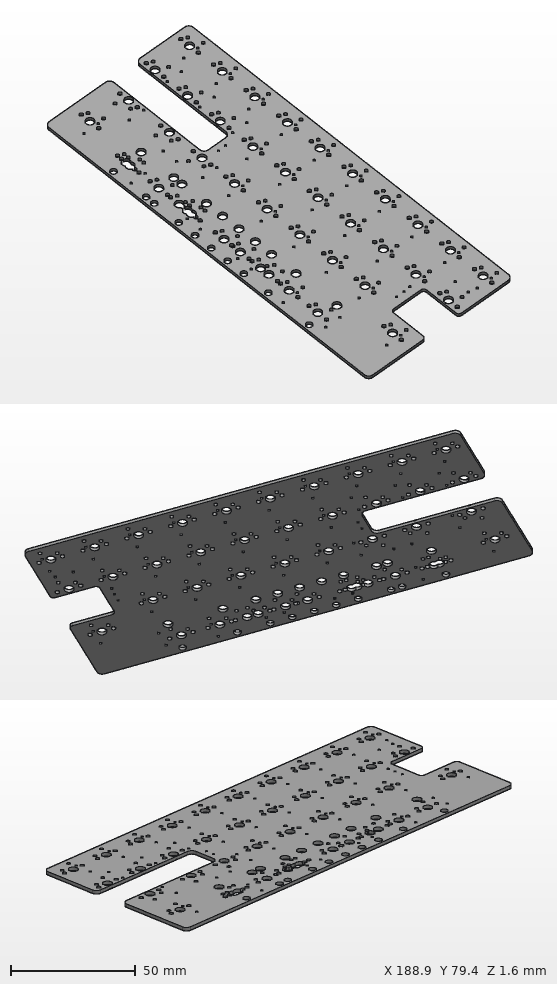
import cadquery as cq

KEY_UNIT = 19.05
GRID_COLUMNS = 10
GRID_ROWS = 4.25
EDGE_TRIM = KEY_UNIT / 24
TOP_TRIM = 2 * EDGE_TRIM

BOARD_LENGTH = GRID_COLUMNS * KEY_UNIT - 2 * EDGE_TRIM
BOARD_WIDTH = GRID_ROWS * KEY_UNIT - TOP_TRIM
BOARD_THICKNESS = 1.6
CORNER_RADIUS = KEY_UNIT / 8
RIGHT_NOTCH_RADIUS = KEY_UNIT / 12
LEFT = -BOARD_LENGTH / 2
BOTTOM = -BOARD_WIDTH / 2

LEFT_NOTCH_DEPTH = 54.9
LEFT_NOTCH_BOTTOM = 35.72
LEFT_NOTCH_TOP = 50.05
RIGHT_NOTCH_DEPTH = 20.3
RIGHT_NOTCH_BOTTOM = 31.6
RIGHT_NOTCH_TOP = 49.7

POST_DIAMETER = 3.99
PEG_DIAMETER = 1.75
PIN_DIAMETER = 1.52
STABILIZER_SMALL_DIAMETER = 3.05
DIODE_DIAMETER = 1.0
LEAD_DIAMETER = 0.8

PIN_GRID = 1.27
PEG_OFFSET = 4 * PIN_GRID
PIN_OFFSETS = [(-3 * PIN_GRID, 2 * PIN_GRID), (2 * PIN_GRID, 4 * PIN_GRID)]

STABILIZER_LARGE_RISE = 8.255
STABILIZER_SMALL_DROP = 6.985

DIODE_SPAN = 7.8
DIODE_SHIFT_X = KEY_UNIT / 6
DIODE_SHIFT_Y = -KEY_UNIT / 8
FAR_DIODE_SHIFT_X = 5 * KEY_UNIT / 12
FAR_DIODE_SHIFT_Y = KEY_UNIT / 6
LEAD_SPAN = 4.0

ROW_1 = 3.75
ROW_2 = 2.75
ROW_3 = 1.75
ROW_4 = 0.5
FULL_ROW = [column + 0.5 for column in range(GRID_COLUMNS)]
ROW_3_TURNED = [0.75, 2, 3]
ROW_3_UPRIGHT = [4, 5, 6, 7, 8]
ROW_4_COLUMNS = [2, 2.125, 3, 3.625, 3.875, 4, 5, 5.5, 6.125, 6.375, 7, 7.875]
LEFT_KEY = (0.625, 0.75)
RIGHT_KEY = (9.375, 1.25)

STABILIZERS = [(5, 3), (4, 1), (5, 1), (3.875, 0.625), (6.125, 0.625)]

UPRIGHT_KEYS = (
    [(x, ROW_1) for x in FULL_ROW]
    + [(x, ROW_2) for x in FULL_ROW]
    + [(x, ROW_3) for x in ROW_3_UPRIGHT]
    + [(x, ROW_4) for x in ROW_4_COLUMNS]
    + [LEFT_KEY, RIGHT_KEY]
)
TURNED_KEYS = [(x, ROW_3) for x in ROW_3_TURNED]

USUAL_DIODE_KEYS = (
    [(x, ROW_1) for x in FULL_ROW]
    + [(x, ROW_2) for x in FULL_ROW[3:-1]]
    + [(x, ROW_3) for x in ROW_3_UPRIGHT]
    + [(7, ROW_4), LEFT_KEY, RIGHT_KEY]
)

RAISED_DIODE_KEYS = [(x, ROW_2) for x in FULL_ROW[:3]]
LOWERED_DIODE_KEYS = [(0.75, ROW_3), (3, ROW_3)]

UPRIGHT_DIODES = [(46.83, 7.14), (157.16, 10.32)]
FLAT_DIODES = [(178.6, 61.12), (46.83, 24.6), (80.17, 6.35), (109.8, 6.3)]

LEAD_PAIRS = [(57.95, 42.8), (164.6, 40.5)]


def key_point(key):
    """Board position of a point given in key units."""
    return (LEFT - EDGE_TRIM + key[0] * KEY_UNIT, BOTTOM + key[1] * KEY_UNIT)


def board_point(point):
    """Board position of a point measured from the lower left board corner."""
    return (LEFT + point[0], BOTTOM + point[1])


def hole(x, y, diameter):
    """Cylinder that cuts a hole through the board."""
    return cq.Solid.makeCylinder(diameter / 2, BOARD_THICKNESS, cq.Vector(x, y, 0))


def switch_holes(key, turn):
    """Post, two pegs and two pins; turn is 1 for upright and -1 for half a turn."""
    x, y = key_point(key)
    holes = [hole(x, y, POST_DIAMETER)]
    for side in (-1, 1):
        holes.append(hole(x + side * PEG_OFFSET, y, PEG_DIAMETER))
    for dx, dy in PIN_OFFSETS:
        holes.append(hole(x + turn * dx, y + turn * dy, PIN_DIAMETER))
    return holes


def stabilizer_holes(centre, half_spacing):
    """A large and a small hole on either side of a long key in row 4."""
    holes = []
    for side in (-1, 1):
        x, y = key_point((centre + side * half_spacing, ROW_4))
        holes.append(hole(x, y + STABILIZER_LARGE_RISE, POST_DIAMETER))
        holes.append(hole(x, y - STABILIZER_SMALL_DROP, STABILIZER_SMALL_DIAMETER))
    return holes


def upright_pair(x, y, span, diameter):
    """Two holes one above the other, centred on a point."""
    return [hole(x, y + side * span / 2, diameter) for side in (-1, 1)]


def flat_pair(x, y, span, diameter):
    """Two holes side by side, centred on a point."""
    return [hole(x + side * span / 2, y, diameter) for side in (-1, 1)]


def key_diode(key, shift_x, shift_y):
    """Upright diode holes centred at a shift from the key's post."""
    x, y = key_point(key)
    return upright_pair(x + shift_x, y + shift_y, DIODE_SPAN, DIODE_DIAMETER)


def board_blank():
    """Board with a notch in each short side and every corner rounded."""
    right = BOARD_LENGTH
    outline = [
        (0, 0),
        (right, 0),
        (right, RIGHT_NOTCH_BOTTOM),
        (right - RIGHT_NOTCH_DEPTH, RIGHT_NOTCH_BOTTOM),
        (right - RIGHT_NOTCH_DEPTH, RIGHT_NOTCH_TOP),
        (right, RIGHT_NOTCH_TOP),
        (right, BOARD_WIDTH),
        (0, BOARD_WIDTH),
        (0, LEFT_NOTCH_TOP),
        (LEFT_NOTCH_DEPTH, LEFT_NOTCH_TOP),
        (LEFT_NOTCH_DEPTH, LEFT_NOTCH_BOTTOM),
        (0, LEFT_NOTCH_BOTTOM),
    ]
    blank = cq.Workplane("XY").polyline([board_point(p) for p in outline]).close()
    blank = blank.extrude(BOARD_THICKNESS)
    right_notch_box = cq.selectors.BoxSelector(
        (0, BOTTOM + RIGHT_NOTCH_BOTTOM - CORNER_RADIUS, 0),
        (BOARD_LENGTH, BOTTOM + RIGHT_NOTCH_TOP + CORNER_RADIUS, BOARD_THICKNESS),
    )
    corners = cq.selectors.ParallelDirSelector(cq.Vector(0, 0, 1))
    right_notch_corners = cq.selectors.AndSelector(corners, right_notch_box)
    blank = blank.edges(corners - right_notch_box).fillet(CORNER_RADIUS)
    return blank.edges(right_notch_corners).fillet(RIGHT_NOTCH_RADIUS)


def all_holes():
    """Every hole in the board."""
    holes = []
    for key in UPRIGHT_KEYS:
        holes += switch_holes(key, 1)
    for key in TURNED_KEYS:
        holes += switch_holes(key, -1)
    for centre, half_spacing in STABILIZERS:
        holes += stabilizer_holes(centre, half_spacing)
    for key in USUAL_DIODE_KEYS:
        holes += key_diode(key, DIODE_SHIFT_X, DIODE_SHIFT_Y)
    for key in RAISED_DIODE_KEYS:
        holes += key_diode(key, FAR_DIODE_SHIFT_X, FAR_DIODE_SHIFT_Y)
    for key in LOWERED_DIODE_KEYS:
        holes += key_diode(key, FAR_DIODE_SHIFT_X, -FAR_DIODE_SHIFT_Y)
    for point in UPRIGHT_DIODES:
        holes += upright_pair(*board_point(point), DIODE_SPAN, DIODE_DIAMETER)
    for point in FLAT_DIODES:
        holes += flat_pair(*board_point(point), DIODE_SPAN, DIODE_DIAMETER)
    for point in LEAD_PAIRS:
        holes += upright_pair(*board_point(point), LEAD_SPAN, LEAD_DIAMETER)
    return holes


result = cq.Workplane("XY").newObject([board_blank().val().cut(*all_holes())])